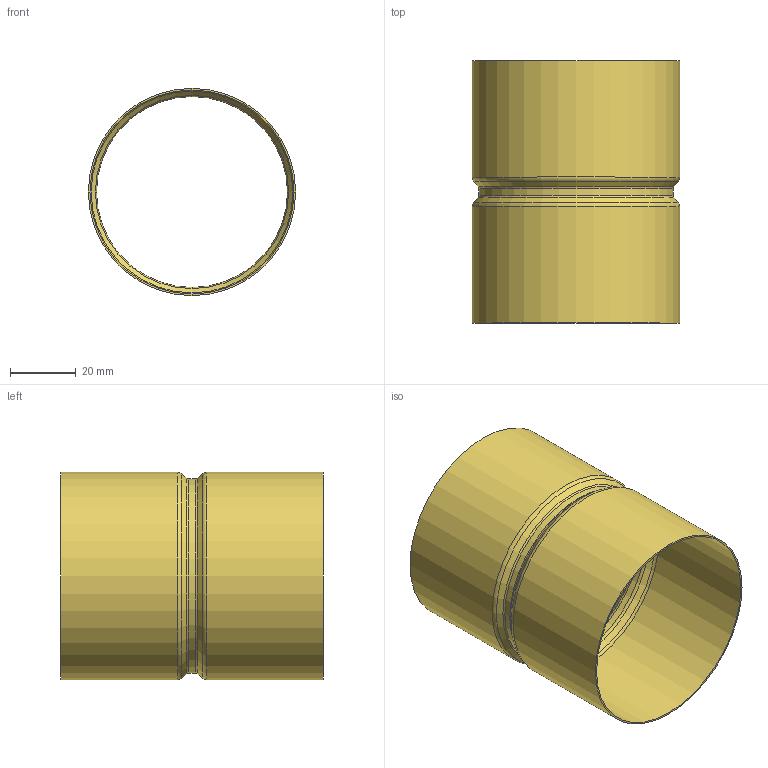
import cadquery as cq
import math

length = 80.0
outer_radius = 63.25 / 2
wall = 0.5
groove_depth = 2.0

groove_floor_width = 2.1
flank_angle = 40.0
shoulder_bend_radius = 2.0
floor_bend_radius = 1.0

floor_center = (outer_radius - groove_depth + floor_bend_radius, groove_floor_width / 2)
shoulder_radial = outer_radius - shoulder_bend_radius
bend_sum = shoulder_bend_radius + floor_bend_radius
radial_gap = floor_center[0] - shoulder_radial
flank = math.radians(flank_angle)
bend_axial_spacing = (bend_sum - radial_gap * math.cos(flank)) / math.sin(flank)
shoulder_center = (shoulder_radial, floor_center[1] + bend_axial_spacing)


def point_on_bend(center, radius, angle):
    """Point on a bend; the angle is measured from the radial direction."""
    return (
        center[0] + radius * math.cos(math.radians(angle)),
        center[1] + radius * math.sin(math.radians(angle)),
    )


def mirrored(point):
    return (point[0], -point[1])


def grooved_body(inset):
    """Solid of revolution bounded by the sleeve surface lying the given inset below the outer skin."""
    skin_radius = outer_radius - inset
    shoulder_bend = shoulder_bend_radius - inset
    floor_bend = floor_bend_radius + inset

    floor_edge = (floor_center[0] - floor_bend, floor_center[1])
    floor_bend_middle = point_on_bend(floor_center, -floor_bend, -flank_angle / 2)
    flank_bottom = point_on_bend(floor_center, -floor_bend, -flank_angle)
    flank_top = point_on_bend(shoulder_center, shoulder_bend, -flank_angle)
    shoulder_middle = point_on_bend(shoulder_center, shoulder_bend, -flank_angle / 2)
    shoulder_edge = (skin_radius, shoulder_center[1])
    end_corner = (skin_radius, length / 2)

    return (
        cq.Workplane("XY")
        .moveTo(0, -length / 2)
        .lineTo(*mirrored(end_corner))
        .lineTo(*mirrored(shoulder_edge))
        .threePointArc(mirrored(shoulder_middle), mirrored(flank_top))
        .lineTo(*mirrored(flank_bottom))
        .threePointArc(mirrored(floor_bend_middle), mirrored(floor_edge))
        .lineTo(*floor_edge)
        .threePointArc(floor_bend_middle, flank_bottom)
        .lineTo(*flank_top)
        .threePointArc(shoulder_middle, shoulder_edge)
        .lineTo(*end_corner)
        .lineTo(0, length / 2)
        .close()
        .revolve(360, (0, 0, 0), (0, 1, 0))
    )


result = grooved_body(0).cut(grooved_body(wall))